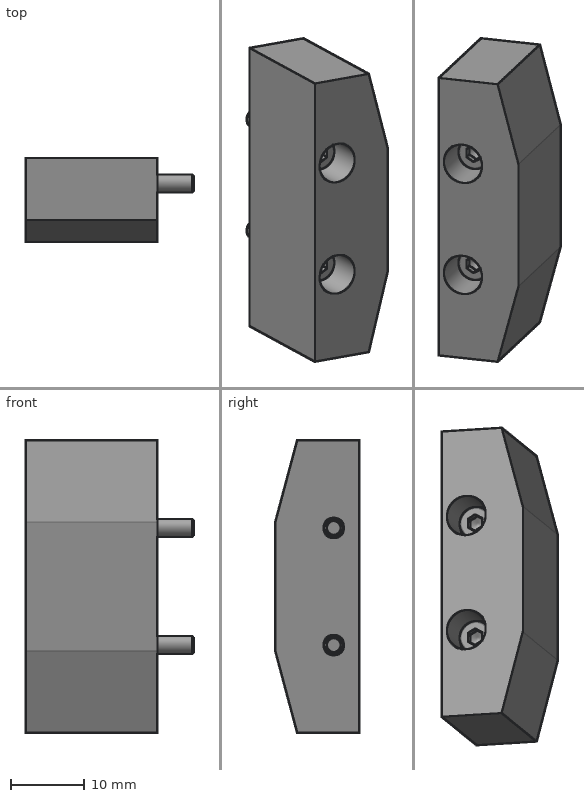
import cadquery as cq
import math

BLOCK_LENGTH = 18.0
BLOCK_DEPTH = 11.5
BLOCK_HEIGHT = 40.0
END_DEPTH = 8.5
BEVEL_ANGLE = 15.0

SCREW_SPACING = 16.0
SCREW_TO_BACK = 3.5

SHANK_DIAMETER = 2.5
SHANK_LENGTH = 16.0
TIP_CHAMFER = 0.3
HEAD_DIAMETER = 4.5
HEAD_HEIGHT = 2.5
HEAD_FILLET = 0.25
SOCKET_SIDES = 6
SOCKET_ACROSS_FLATS = 2.0
SOCKET_DEPTH = 1.1
SOCKET_CONE_ANGLE = 120.0
SCREW_PROTRUSION = 5.0

COUNTERBORE_DIAMETER = 5.5
CLEARANCE_DIAMETER = 2.8

bevel_height = (BLOCK_DEPTH - END_DEPTH) / math.tan(math.radians(BEVEL_ANGLE))
half_height = BLOCK_HEIGHT / 2
flat_half_height = half_height - bevel_height
seat_x = BLOCK_LENGTH + SCREW_PROTRUSION - SHANK_LENGTH
head_top_x = seat_x - HEAD_HEIGHT
screw_y = -SCREW_TO_BACK


def rod(x_start, length, diameter):
    """Cylinder along +X, centred on the X axis."""
    return cq.Workplane("YZ", origin=(x_start, 0, 0)).circle(diameter / 2).extrude(length)


def make_block():
    outline = [
        (0, -half_height),
        (0, half_height),
        (-END_DEPTH, half_height),
        (-BLOCK_DEPTH, flat_half_height),
        (-BLOCK_DEPTH, -flat_half_height),
        (-END_DEPTH, -half_height),
    ]
    return cq.Workplane("YZ").polyline(outline).close().extrude(BLOCK_LENGTH)


def make_hole():
    """Counterbore from the -X face down to the head seat, then a clearance hole."""
    counterbore = rod(0, seat_x, COUNTERBORE_DIAMETER)
    clearance = rod(0, BLOCK_LENGTH, CLEARANCE_DIAMETER)
    return counterbore.union(clearance)


def make_socket():
    """Hexagonal socket with corners toward +Z and -Z and a drilled conical bottom."""
    across_corners = SOCKET_ACROSS_FLATS / math.cos(math.pi / SOCKET_SIDES)
    drill_radius = across_corners / 2
    cone_depth = drill_radius / math.tan(math.radians(SOCKET_CONE_ANGLE / 2))
    full_depth = SOCKET_DEPTH + cone_depth
    hexagon = (
        cq.Workplane("YZ", origin=(head_top_x, 0, 0))
        .transformed(rotate=(0, 0, 90))
        .polygon(SOCKET_SIDES, across_corners)
        .extrude(full_depth)
    )
    drill = (
        cq.Workplane("XY")
        .moveTo(head_top_x, 0)
        .lineTo(head_top_x, drill_radius)
        .lineTo(head_top_x + SOCKET_DEPTH, drill_radius)
        .lineTo(head_top_x + full_depth, 0)
        .close()
        .revolve(360, (0, 0, 0), (1, 0, 0))
    )
    return hexagon.intersect(drill)


def make_screw():
    head = rod(head_top_x, HEAD_HEIGHT, HEAD_DIAMETER).faces("<X").edges().fillet(HEAD_FILLET)
    shank = rod(seat_x, SHANK_LENGTH, SHANK_DIAMETER).faces(">X").edges().chamfer(TIP_CHAMFER)
    return head.union(shank).cut(make_socket())


result = make_block()
for screw_z in (-SCREW_SPACING / 2, SCREW_SPACING / 2):
    place = (0, screw_y, screw_z)
    result = result.cut(make_hole().translate(place))
    result = result.union(make_screw().translate(place))